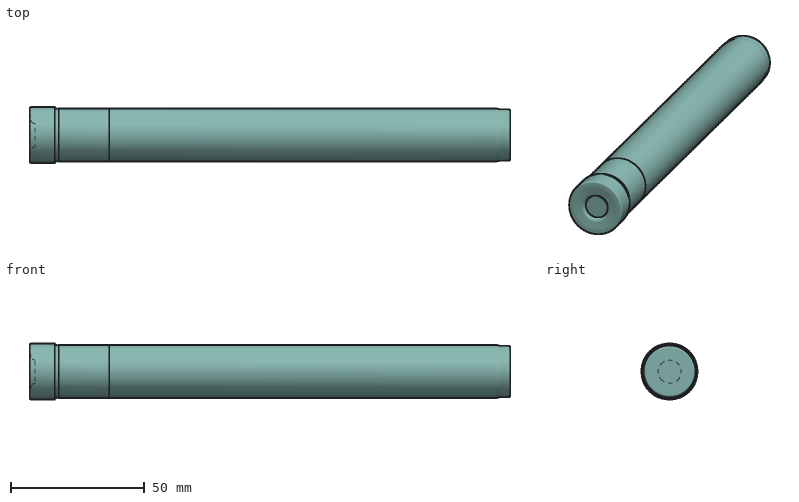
import cadquery as cq
import math

total_length = 180.0

knob_diameter = 21.0
knob_length = 9.4
knob_edge_radius = 0.7
neck_diameter = 19.8
neck_length = 1.6
cap_length = 29.9

dish_diameter = 17.0
dish_depth = 0.4
recess_diameter = 8.6
recess_lip_radius = 1.6

barrel_diameter = 20.0
tip_diameter = 19.5
tip_length = 4.1
shoulder_length = 1.3
tip_edge_radius = 0.9

round_inset = 1 - math.sqrt(0.5)


def revolve_about_x(profile):
    """Revolve a closed profile, drawn as X against radius, about the X axis."""
    return profile.close().revolve(360, (0, 0, 0), (1, 0, 0))


def make_cap():
    knob_radius = knob_diameter / 2
    neck_radius = neck_diameter / 2
    sleeve_radius = barrel_diameter / 2
    neck_end = knob_length + neck_length
    knob_inset = knob_edge_radius * round_inset

    recess_radius = recess_diameter / 2
    lip_inset = recess_lip_radius * round_inset
    floor_depth = dish_depth + recess_lip_radius

    profile = (
        cq.Workplane("XY")
        .moveTo(floor_depth, 0)
        .lineTo(floor_depth, recess_radius)
        .threePointArc(
            (dish_depth + lip_inset, recess_radius + lip_inset),
            (dish_depth, recess_radius + recess_lip_radius),
        )
        .lineTo(0, dish_diameter / 2)
        .lineTo(0, knob_radius - knob_edge_radius)
        .threePointArc((knob_inset, knob_radius - knob_inset), (knob_edge_radius, knob_radius))
        .lineTo(knob_length, knob_radius)
        .threePointArc((knob_length + neck_length / 2, neck_radius), (neck_end, sleeve_radius))
        .lineTo(cap_length, sleeve_radius)
        .lineTo(cap_length, 0)
    )
    return revolve_about_x(profile)


def make_barrel():
    barrel_radius = barrel_diameter / 2
    tip_radius = tip_diameter / 2
    tip_start = total_length - tip_length
    tip_inset = tip_edge_radius * round_inset

    profile = (
        cq.Workplane("XY")
        .moveTo(cap_length, 0)
        .lineTo(cap_length, barrel_radius)
        .lineTo(tip_start - shoulder_length, barrel_radius)
        .lineTo(tip_start, tip_radius)
        .lineTo(total_length - tip_edge_radius, tip_radius)
        .threePointArc(
            (total_length - tip_inset, tip_radius - tip_inset),
            (total_length, tip_radius - tip_edge_radius),
        )
        .lineTo(total_length, 0)
    )
    return revolve_about_x(profile)


cap = make_cap()
barrel = make_barrel()
result = cq.Compound.makeCompound([cap.val(), barrel.val()])